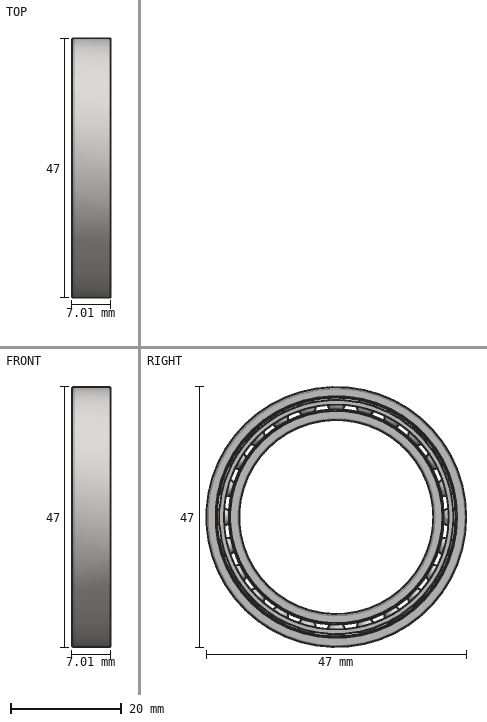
import cadquery as cq
import math

width = 7.01
bore_radius = 17.5
outer_radius = 23.5

pitch_radius = (bore_radius + outer_radius) / 2
shoulder_offset = 1.05
inner_ring_shoulder_radius = pitch_radius - shoulder_offset
outer_ring_shoulder_radius = pitch_radius + shoulder_offset

edge_break = 0.3

ball_count = 24
ball_radius = 1.5875
cage_width = 6.7
cage_inner_radius = 20.3
cage_outer_radius = 21.15


def tube(length, inner_radius, outside_radius):
    """Plain tube around the X axis, centred on X = 0."""
    return (
        cq.Workplane("YZ")
        .circle(outside_radius)
        .circle(inner_radius)
        .extrude(length)
        .translate((-length / 2, 0, 0))
    )


def edges_at_radius(ring, radius):
    """The two circular end edges of a tube at the given radius."""
    radius_tolerance = 0.01
    circles = ring.edges("%CIRCLE").vals()
    return ring.newObject([edge for edge in circles if abs(edge.radius() - radius) < radius_tolerance])


def ball_track():
    """Solid torus swept by the balls as they run around the bearing."""
    return cq.Workplane(cq.Solid.makeTorus(pitch_radius, ball_radius, cq.Vector(), cq.Vector(1, 0, 0)))


def make_inner_ring():
    ring = tube(width, bore_radius, inner_ring_shoulder_radius)
    ring = edges_at_radius(ring, bore_radius).fillet(edge_break)
    ring = edges_at_radius(ring, inner_ring_shoulder_radius).chamfer(edge_break)
    return ring.cut(ball_track())


def make_outer_ring():
    ring = tube(width, outer_ring_shoulder_radius, outer_radius)
    ring = edges_at_radius(ring, outer_radius).fillet(edge_break)
    ring = edges_at_radius(ring, outer_ring_shoulder_radius).chamfer(edge_break)
    return ring.cut(ball_track())


def make_ball_cage():
    """Cage band with the balls fused into it as one body."""
    cage = tube(cage_width, cage_inner_radius, cage_outer_radius)
    for index in range(ball_count):
        angle = 2 * math.pi * index / ball_count
        center = (0, pitch_radius * math.cos(angle), pitch_radius * math.sin(angle))
        cage = cage.union(cq.Workplane("XY").sphere(ball_radius).translate(center))
    return cage


inner_ring = make_inner_ring()
outer_ring = make_outer_ring()
ball_cage = make_ball_cage()

result = cq.Compound.makeCompound([inner_ring.val(), outer_ring.val(), *ball_cage.vals()])